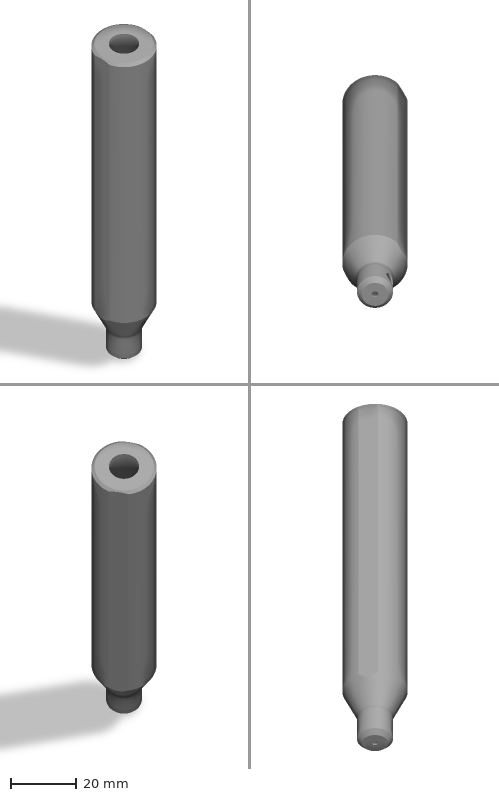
import cadquery as cq
import math

length = 125.0
body_radius = 10.0
across_flats = 19.0
top_chamfer_width = 1.0
top_chamfer_height = 0.8

neck_radius = 5.5
neck_length = 10.0
taper_height = 10.0
tip_chamfer = 1.5

bore_radius = 4.6
passage_radius = 1.0
bore_floor = neck_length + taper_height
drill_point_angle = 135.0
cone_depth = (bore_radius - passage_radius) / math.tan(math.radians(drill_point_angle / 2))

port_radius = 2.0
port_height = 5.2


def turned_blank():
    """Revolve the outer shape: tip chamfer, neck, taper and chamfered shaft."""
    taper_top = neck_length + taper_height
    return (
        cq.Workplane("XZ")
        .moveTo(0, 0)
        .lineTo(neck_radius - tip_chamfer, 0)
        .lineTo(neck_radius, tip_chamfer)
        .lineTo(neck_radius, neck_length)
        .lineTo(body_radius, taper_top)
        .lineTo(body_radius, length - top_chamfer_height)
        .lineTo(body_radius - top_chamfer_width, length)
        .lineTo(0, length)
        .close()
        .revolve(360, (0, 0, 0), (0, 1, 0))
    )


def flats_envelope():
    """Block whose two Y faces form the flats on the shaft."""
    return cq.Workplane("XY").box(2 * body_radius, across_flats, length, centered=(True, True, False))


def axial_bore():
    """Wide bore from the top, narrowing through a cone to a thin passage."""
    return (
        cq.Workplane("XZ")
        .moveTo(0, 0)
        .lineTo(passage_radius, 0)
        .lineTo(passage_radius, bore_floor - cone_depth)
        .lineTo(bore_radius, bore_floor)
        .lineTo(bore_radius, length)
        .lineTo(0, length)
        .close()
        .revolve(360, (0, 0, 0), (0, 1, 0))
    )


def side_port():
    """Radial hole from the +Y side of the neck to the axial passage."""
    return (
        cq.Workplane("XZ")
        .center(0, port_height)
        .circle(port_radius)
        .extrude(-neck_radius)
    )


handle = turned_blank().intersect(flats_envelope()).cut(axial_bore()).cut(side_port())

result = cq.Compound.makeCompound([handle.val()])